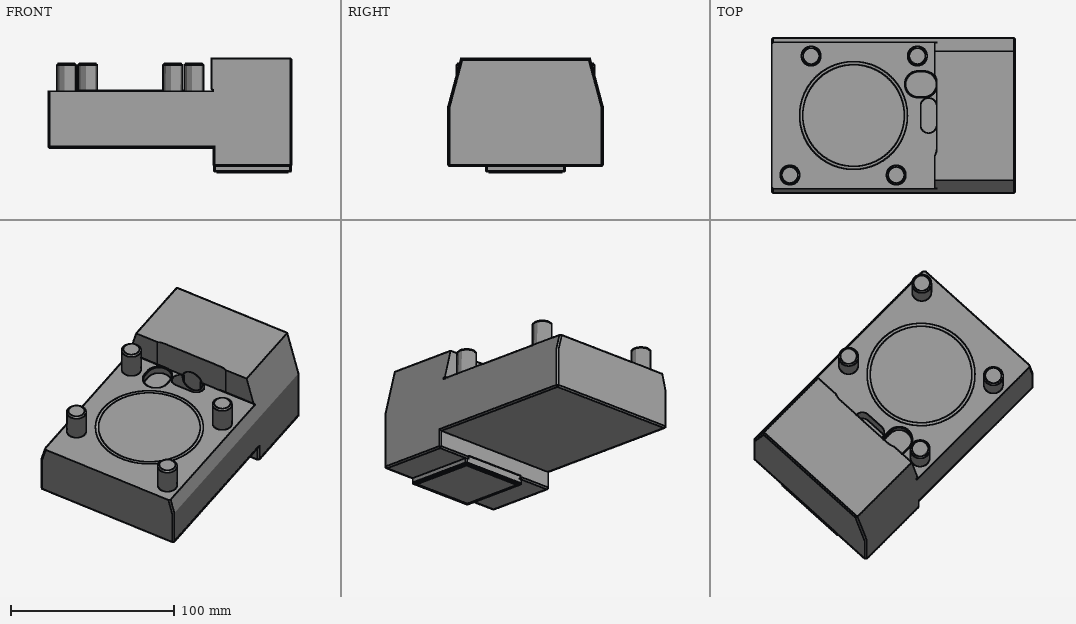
import cadquery as cq
import math

length = 149.2
width = 95.0
height = 70.0
side_lean = 15.0
lean_start_z = 40.0
edge_chamfer = 1.0

deck_top = 50.0
deck_bottom = 15.0
block_bottom = 3.9
block_x = 101.0

wall_x = 100.0
recess_width = 49.0
recess_flat_width = 39.7
undercut_height = 1.3
undercut_lip = 0.5

pad_x = 101.5
pad_length = 47.3
pad_width = 48.5
pad_corner_chamfer = 0.9
pad_bottom_chamfer = 0.6
pad_foot_height = 0.5
pad_foot_inset = 2.1
pad_notch_width = 44.8
pad_notch_top = 5.7

pin_diameter = 12.0
pin_top = 66.8
pin_chamfer = 1.0
pin_pitch = 65.0
pin_row_y = 36.4
front_row_x = 11.2
back_row_x = 24.2

ring_x = 50.1
ring_radius = 32.1
ring_section = 2.5
ring_rise = 0.5

port_x = 91.5
port_y = 19.1
port_length = 19.0
port_width = 15.4
port_depth = 5.0
port_chamfer = 0.52

slot_width = 9.8
slot_length = 21.5
slot_depth = 12.0
seat_diameter = 14.0
seat_top = deck_top + 5.2
seat_depth = 0.1


def bar(start_x, end_x, size_y, bottom, top):
    """Box from start_x to end_x and from bottom to top, centred on Y."""
    bar_size = (end_x - start_x, size_y, top - bottom)
    return cq.Workplane("XY").box(*bar_size, centered=(False, True, False)).translate((start_x, 0, bottom))


def leaning_prism(start_x, end_x, bottom):
    """Full-width length of the body section, chamfered at both ends and along the bottom."""
    half_width = width / 2
    half_top = half_width - (height - lean_start_z) * math.tan(math.radians(side_lean))
    prism = (
        cq.Workplane("YZ", origin=(start_x, 0, 0))
        .moveTo(-half_width, bottom)
        .lineTo(half_width, bottom)
        .lineTo(half_width, lean_start_z)
        .lineTo(half_top, height)
        .lineTo(-half_top, height)
        .lineTo(-half_width, lean_start_z)
        .close()
        .extrude(end_x - start_x)
    )
    return prism.faces("<X or >X or <Z").edges().chamfer(edge_chamfer)


def make_body():
    deck = leaning_prism(0, length, deck_bottom)
    block = leaning_prism(block_x, length, block_bottom)
    block = block.cut(bar(0, length, width, lean_start_z, height))
    open_space = bar(0, wall_x, width, deck_top, height)
    return deck.union(block).cut(open_space)


def wall_recess():
    depth = block_x - wall_x
    half_open = recess_width / 2
    half_flat = recess_flat_width / 2
    run = half_open - half_flat
    radius = (run ** 2 + depth ** 2) / (2 * depth)
    return (
        cq.Workplane("XY", origin=(0, 0, deck_top))
        .moveTo(wall_x, -half_open)
        .radiusArc((block_x, -half_flat), -radius)
        .lineTo(block_x, half_flat)
        .radiusArc((wall_x, half_open), -radius)
        .close()
        .extrude(height - deck_top)
    )


def wall_undercut():
    return (
        cq.Workplane("XZ", origin=(0, width / 2, 0))
        .moveTo(wall_x, deck_top)
        .lineTo(block_x, deck_top)
        .lineTo(block_x, deck_top + undercut_lip)
        .lineTo(wall_x, deck_top + undercut_height)
        .close()
        .extrude(width)
    )


def make_pad():
    end_x = pad_x + pad_length
    plate = bar(pad_x, end_x, pad_width, pad_foot_height, block_bottom)
    plate = plate.edges("|Z").chamfer(pad_corner_chamfer)
    plate = plate.faces("<Z").edges().chamfer(pad_bottom_chamfer)
    pad_bottom_top = pad_foot_height + pad_bottom_chamfer
    foot_width = pad_width - 2 * pad_foot_inset
    foot = bar(pad_x + pad_foot_inset, end_x - pad_foot_inset, foot_width, 0, block_bottom)
    tongue = bar(pad_x, end_x - edge_chamfer, pad_notch_width, pad_bottom_top, pad_notch_top)
    return plate.union(foot).union(tongue)


def make_pins():
    rows = ((front_row_x, -pin_row_y), (back_row_x, pin_row_y))
    places = [(x + shift, y) for x, y in rows for shift in (0, pin_pitch)]
    pins = cq.Workplane("XY", origin=(0, 0, deck_top)).pushPoints(places).circle(pin_diameter / 2)
    return pins.extrude(pin_top - deck_top).faces(">Z").edges().chamfer(pin_chamfer)


def sealing_ring():
    center_z = deck_top + ring_rise - ring_section / 2
    return (
        cq.Workplane("XZ", origin=(ring_x, 0, 0))
        .center(ring_radius, center_z)
        .circle(ring_section / 2)
        .revolve(360, (-ring_radius, 0), (-ring_radius, 1))
    )


def oval_port():
    outline = cq.Workplane("XY", origin=(port_x, port_y, deck_top))
    well = outline.slot2D(port_length, port_width).extrude(-port_depth)
    mouth = (
        outline.slot2D(port_length + 2 * port_chamfer, port_width + 2 * port_chamfer)
        .extrude(-port_chamfer, taper=45)
    )
    return well.union(mouth)


def wall_slot():
    center_x = block_x - slot_width / 2
    return (
        cq.Workplane("XY", origin=(center_x, 0, deck_top))
        .slot2D(slot_length, slot_width, 90)
        .extrude(-slot_depth)
    )


def round_seat():
    center_z = seat_top - seat_diameter / 2
    return cq.Workplane("YZ", origin=(block_x, 0, center_z)).circle(seat_diameter / 2).extrude(seat_depth)


result = make_body()
result = result.cut(wall_recess()).cut(wall_undercut())
result = result.cut(bar(block_x, pad_x, pad_notch_width, block_bottom, pad_notch_top))
result = result.union(make_pad()).union(make_pins()).union(sealing_ring())
result = result.cut(oval_port()).cut(wall_slot()).cut(round_seat())